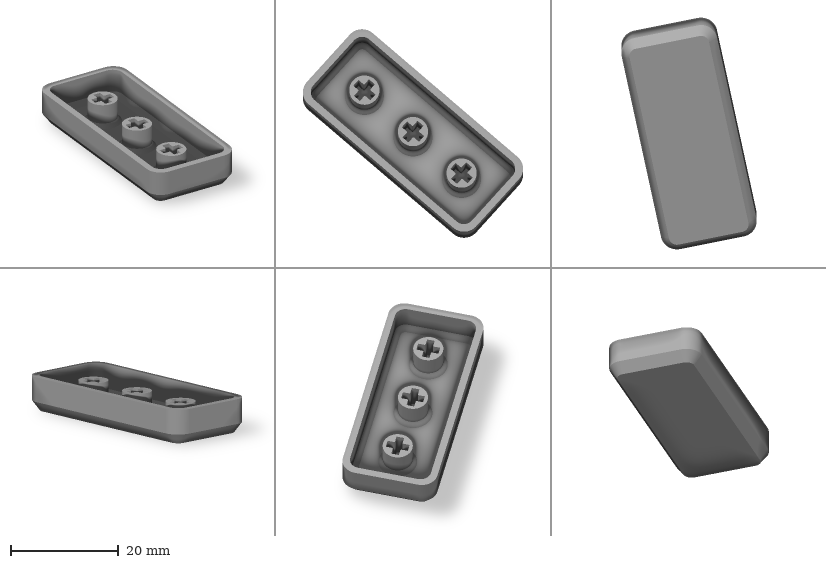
import cadquery as cq

LENGTH = 41.8
WIDTH = 18.05
HEIGHT = 6.7
CORNER_RADIUS = 3.0
BOTTOM_CHAMFER_INSET = 1.5
BOTTOM_CHAMFER_HEIGHT = 2.0

WALL = 1.325
CAVITY_CORNER_RADIUS = 2.0
FLOOR_THICKNESS = 1.2
FLOOR_CHAMFER = 1.0

POST_COUNT = 3
POST_SPACING = 12.0
POST_DIAMETER = 5.6
POST_TOP = 5.8
FOOT_CHAMFER = 0.8
SOCKET_SPAN = 4.2
SOCKET_ARM_WIDTH = 1.45
SOCKET_INNER_RADIUS = 0.2
SOCKET_DEPTH = POST_TOP - FLOOR_THICKNESS


def rounded_block(length, width, height, radius, base_z):
    """Upright block with rounded vertical edges, centred on the Z axis."""
    return (
        cq.Workplane("XY", origin=(0, 0, base_z))
        .rect(length, width)
        .extrude(height)
        .edges("|Z")
        .fillet(radius)
    )


def make_shell():
    """Rounded block with a sloped lower edge and a cavity with a sloped floor edge."""
    outside = rounded_block(LENGTH, WIDTH, HEIGHT, CORNER_RADIUS, 0)
    outside = outside.faces("<Z").chamfer(BOTTOM_CHAMFER_HEIGHT, BOTTOM_CHAMFER_INSET)
    cavity = rounded_block(
        LENGTH - 2 * WALL,
        WIDTH - 2 * WALL,
        HEIGHT - FLOOR_THICKNESS,
        CAVITY_CORNER_RADIUS,
        FLOOR_THICKNESS,
    )
    cavity = cavity.faces("<Z").chamfer(FLOOR_CHAMFER)
    return outside.cut(cavity)


def make_post(x):
    """Round post whose foot flares out to meet the floor."""
    radius = POST_DIAMETER / 2
    foot_radius = radius + FOOT_CHAMFER
    foot_top = FLOOR_THICKNESS + FOOT_CHAMFER
    root_z = FLOOR_THICKNESS / 2
    half_profile = (
        cq.Workplane("XZ")
        .moveTo(0, root_z)
        .lineTo(foot_radius, root_z)
        .lineTo(foot_radius, FLOOR_THICKNESS)
        .lineTo(radius, foot_top)
        .lineTo(radius, POST_TOP)
        .lineTo(0, POST_TOP)
        .close()
    )
    return half_profile.revolve(360, (0, 0, 0), (0, 1, 0)).translate((x, 0, 0))


def make_socket(x):
    """Cross-shaped cutter with rounded inside corners, sunk from the post top."""
    base = cq.Workplane("XY", origin=(x, 0, POST_TOP - SOCKET_DEPTH))
    arm_x = base.rect(SOCKET_SPAN, SOCKET_ARM_WIDTH).extrude(SOCKET_DEPTH)
    arm_y = base.rect(SOCKET_ARM_WIDTH, SOCKET_SPAN).extrude(SOCKET_DEPTH)
    reach = (SOCKET_ARM_WIDTH + SOCKET_INNER_RADIUS) / 2
    inner_corners = cq.selectors.BoxSelector(
        (x - reach, -reach, 0), (x + reach, reach, HEIGHT)
    )
    return arm_x.union(arm_y).edges("|Z").edges(inner_corners).fillet(SOCKET_INNER_RADIUS)


result = make_shell()
for index in range(POST_COUNT):
    post_x = (index - (POST_COUNT - 1) / 2) * POST_SPACING
    result = result.union(make_post(post_x)).cut(make_socket(post_x))